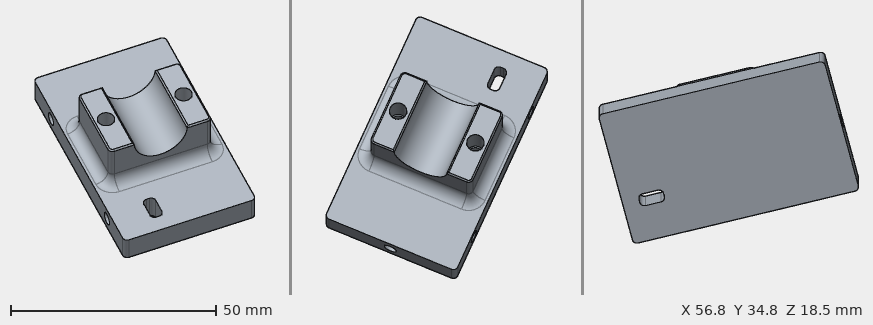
import cadquery as cq

base_length = 56.8
base_width = 34.8
base_height = 6.55
base_corner_radius = 1.2

total_height = 18.5
block_length = 20.0
block_width = 27.0
block_corner_radius = 1.2
root_fillet_radius = 3.2
top_chamfer = 0.4
groove_radius = 7.0

clamp_hole_spacing = 20.5
clamp_bore_diameter = 4.2
clamp_pilot_diameter = 3.4
side_hole_spacing = 34.8
side_bore_diameter = 3.2
side_pilot_diameter = 2.4
bore_depth_ratio = 2.0
pilot_depth_ratio = 2.5

slot_length = 6.2
slot_width = 3.1
slot_corner_radius = 1.2
slot_x = 21.15
slot_y = -6.8


def rounded_block(length, width, height, corner_radius):
    """Upright block centred on the Z axis, with rounded vertical edges."""
    block = cq.Workplane("XY").box(length, width, height, centered=(True, True, False))
    return block.edges("|Z").fillet(corner_radius)


def stepped_hole(entry, direction, bore_diameter, pilot_diameter):
    """Cutter for a blind hole: its depths are multiples of the bore diameter."""
    bore_depth = bore_depth_ratio * bore_diameter
    pilot_depth = pilot_depth_ratio * bore_diameter
    start = cq.Vector(*entry)
    axis = cq.Vector(*direction)
    bore = cq.Solid.makeCylinder(bore_diameter / 2, bore_depth, start, axis)
    pilot = cq.Solid.makeCylinder(pilot_diameter / 2, pilot_depth, start, axis)
    return bore.fuse(pilot)


def make_base():
    return rounded_block(base_length, base_width, base_height, base_corner_radius)


def add_saddle(base):
    """Join the block to the base, blend its foot, cut the groove and chamfer the top."""
    block = rounded_block(block_length, block_width, total_height, block_corner_radius)
    body = base.union(block)

    foot_selector = cq.selectors.BoxSelector(
        (-block_length / 2 - top_chamfer, -block_width / 2 - top_chamfer, base_height - top_chamfer),
        (block_length / 2 + top_chamfer, block_width / 2 + top_chamfer, base_height + top_chamfer),
        boundingbox=True,
    )
    body = body.edges(foot_selector).fillet(root_fillet_radius)

    groove = (
        cq.Workplane("YZ")
        .center(0, total_height)
        .circle(groove_radius)
        .extrude(block_length, both=True)
    )
    return body.cut(groove).faces(">Z").edges().chamfer(top_chamfer)


def cut_holes(body):
    for side in (-1, 1):
        clamp_entry = (0, side * clamp_hole_spacing / 2, total_height)
        body = body.cut(stepped_hole(clamp_entry, (0, 0, -1), clamp_bore_diameter, clamp_pilot_diameter))

        front_entry = (side * side_hole_spacing / 2, -base_width / 2, base_height / 2)
        body = body.cut(stepped_hole(front_entry, (0, 1, 0), side_bore_diameter, side_pilot_diameter))

    end_entry = (-base_length / 2, 0, base_height / 2)
    return body.cut(stepped_hole(end_entry, (1, 0, 0), side_bore_diameter, side_pilot_diameter))


def cut_slot(body):
    slot = rounded_block(slot_length, slot_width, base_height, slot_corner_radius)
    return body.cut(slot.translate((slot_x, slot_y, 0)))


result = cut_slot(cut_holes(add_saddle(make_base())))